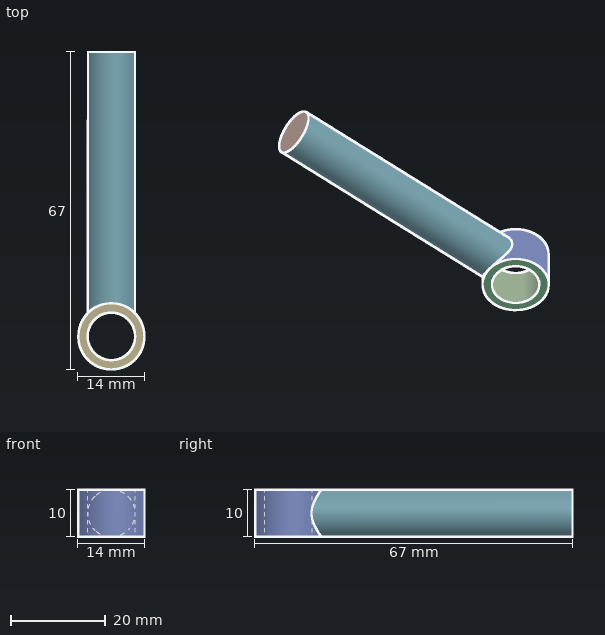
import cadquery as cq

overall_length = 67.0
eye_diameter = 14.0
bore_diameter = 10.0
rod_diameter = 10.0
eye_height = rod_diameter

rod_length = overall_length - eye_diameter / 2


def upright_cylinder(diameter):
    """Cylinder of the eye's height about Z, centred on the rod axis."""
    return cq.Workplane("XY").cylinder(eye_height, diameter / 2)


def make_rod():
    """Solid round rod along +Y."""
    return cq.Workplane("XZ").circle(rod_diameter / 2).extrude(-rod_length)


eye = upright_cylinder(eye_diameter)
bore = upright_cylinder(bore_diameter)
result = eye.union(make_rod()).cut(bore)